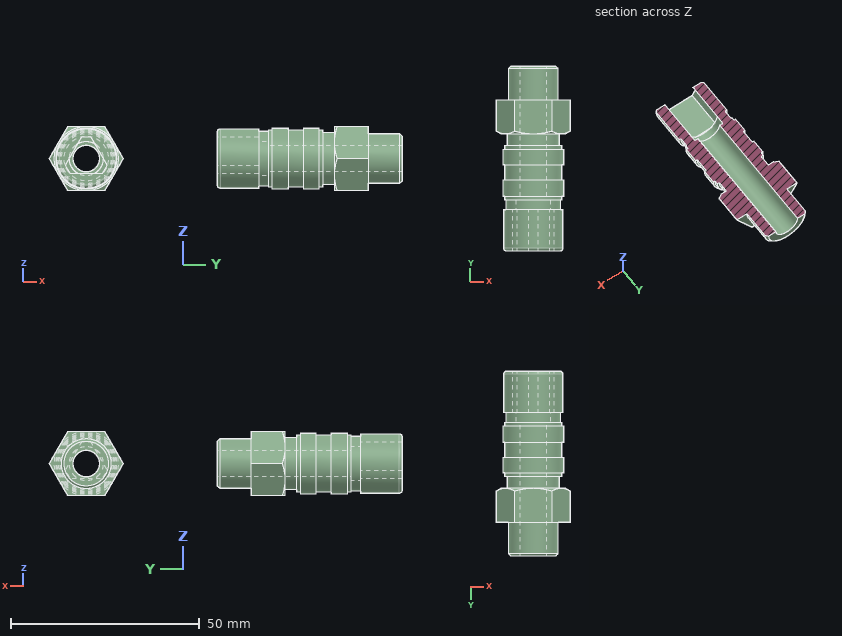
import cadquery as cq
import math

length = 49.0

head_diameter = 15.75
head_end = 11.02
groove_diameter = 14.55
groove_end = 13.55
sleeve_diameter = 15.15
band_diameter = 16.15
neck_diameter = 13.8
hex_start = 31.0
hex_end = 40.05
tail_diameter = 13.2
body_steps = [
    (head_diameter, head_end),
    (groove_diameter, groove_end),
    (sleeve_diameter, 14.5),
    (band_diameter, 18.85),
    (sleeve_diameter, 22.85),
    (band_diameter, 26.95),
    (sleeve_diameter, 28.0),
    (neck_diameter, hex_end),
    (tail_diameter, length),
]
head_fillet = 0.85
tail_chamfer = 0.7

hex_across_flats = 17.0
hex_across_corners = hex_across_flats / math.cos(math.radians(30))
hex_chamfer_angle = 30.0
cone_margin = 0.5

socket_inradius = 3.9
socket_corner_distance = 5.7
socket_depth = head_end
wide_bore_diameter = 9.0
wide_bore_end = groove_end
bore_diameter = 6.95


def cylinder(diameter, start, end):
    """Cylinder on the Y axis between two Y positions."""
    plane = cq.Plane(origin=(0, start, 0), xDir=(1, 0, 0), normal=(0, 1, 0))
    return cq.Workplane(plane).circle(diameter / 2).extrude(end - start)


def make_body():
    """Turned body as a single revolved profile with finished ends."""
    profile = cq.Workplane("XY").moveTo(0, 0)
    start = 0.0
    for diameter, end in body_steps:
        profile = profile.lineTo(diameter / 2, start).lineTo(diameter / 2, end)
        start = end
    body = profile.lineTo(0, length).close().revolve(360, (0, 0, 0), (0, 1, 0))
    body = body.faces("<Y").edges().fillet(head_fillet)
    return body.faces(">Y").edges().chamfer(tail_chamfer)


def make_hex_collar():
    """Hexagon whose corners are bevelled by a cone on the socket side."""
    plane = cq.Plane(origin=(0, hex_start, 0), xDir=(1, 0, 0), normal=(0, 1, 0))
    hexagon = cq.Workplane(plane).polygon(6, hex_across_corners).extrude(hex_end - hex_start)
    flat_radius = hex_across_flats / 2
    outer_radius = hex_across_corners / 2 + cone_margin
    cone_depth = (outer_radius - flat_radius) * math.tan(math.radians(hex_chamfer_angle))
    envelope = (
        cq.Workplane("XY")
        .moveTo(0, hex_start)
        .lineTo(flat_radius, hex_start)
        .lineTo(outer_radius, hex_start + cone_depth)
        .lineTo(outer_radius, hex_end)
        .lineTo(0, hex_end)
        .close()
        .revolve(360, (0, 0, 0), (0, 1, 0))
    )
    return hexagon.intersect(envelope)


def triangle(inradius):
    """Equilateral triangular prism as deep as the socket; a negative inradius inverts it."""
    points = []
    for corner in range(3):
        angle = math.radians(90 + 120 * corner)
        points.append((2 * inradius * math.cos(angle), 2 * inradius * math.sin(angle)))
    return cq.Workplane("XZ").polyline(points).close().extrude(-socket_depth)


def make_socket():
    """Upright triangle with its corners cut by a larger inverted triangle."""
    return triangle(socket_inradius).intersect(triangle(-socket_corner_distance))


result = (
    make_body()
    .union(make_hex_collar())
    .cut(make_socket())
    .cut(cylinder(wide_bore_diameter, socket_depth, wide_bore_end))
    .cut(cylinder(bore_diameter, socket_depth, length))
)